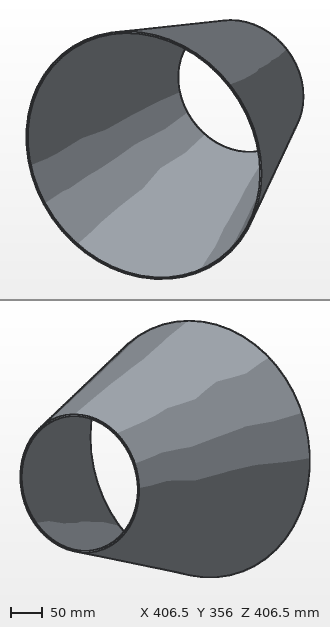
import cadquery as cq

large_diameter = 406.5
small_diameter = 219.0
length = 356.0
wall = 3.0

large_radius = large_diameter / 2
small_radius = small_diameter / 2
front_y = -length / 2
back_y = length / 2

result = (
    cq.Workplane("XY")
    .moveTo(large_radius - wall, front_y)
    .lineTo(large_radius, front_y)
    .lineTo(small_radius, back_y)
    .lineTo(small_radius - wall, back_y)
    .close()
    .revolve(360, (0, 0, 0), (0, 1, 0))
)